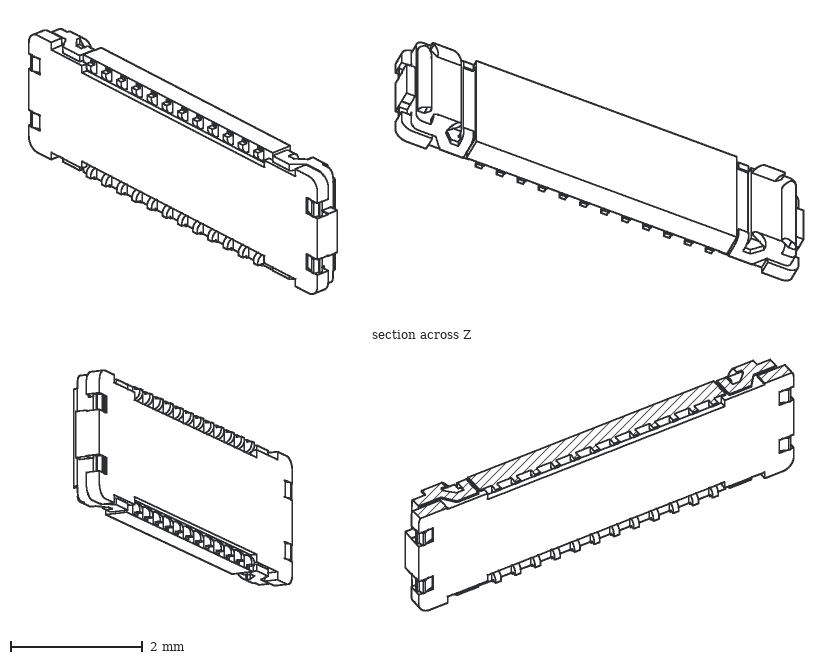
import cadquery as cq

length = 6.65
width = 2.0
half_length = length / 2
half_width = width / 2
base_height = 0.22
base_corner_radius = 0.2
core_half_length = half_length - 0.185
core_half_width = 0.876
core_height = 0.42
end_pad_length = 0.515
end_tongue_half_width = 0.36
end_tongue_height = 0.4

rail_half_length = 2.18
rail_bottom = 0.10
rail_top = 0.458
pocket_half_length = 2.10
pocket_half_width = 0.756

contact_count = 12
contact_pitch = 0.35
contact_width = 0.1
contact_proud = 0.02
tail_end = half_width - 0.005
tail_bottom = 0.064
bump_outer = 0.96
bump_flat_end = 0.919

frame_end = half_length - 0.145
frame_half_width = 0.98
frame_bottom = 0.262
frame_top = 0.442
frame_corner_radius = 0.122
strip_inner_end = 2.22
strip_low_bottom = 0.062
strip_bend_start = 2.77
strip_bend_end = 2.61
notch_bottom = 0.24
notch_slope_top = 0.39
notch_floor_start = 2.51
notch_wall_start = 2.66
tab_outer_end = 2.385
tab_bend_radius = 0.12
land_end = 2.425
gap_floor = 0.33

lip_height = 0.118
lip_width = 0.22
side_lip_start = 2.94
end_lip_outer = frame_end - 0.02
end_lip_half_length = frame_half_width - lip_width

foot_inner_z = 0.35
foot_outer_z = 0.61
foot_clearance = 0.008
foot_notch_length = 0.255
foot_shoulder = 0.11
foot_step = 0.0625
foot_tip = half_length - 0.015
foot_toe = half_length - 0.045
foot_sole_start = half_length - 0.065
foot_sole_end = half_length - 0.105
foot_heel_depth = 0.03


def block(x0, x1, y0, y1, z0, z1):
    """Box between two opposite corners."""
    return cq.Workplane("XY").box(x1 - x0, y1 - y0, z1 - z0, centered=False).translate((x0, y0, z0))


def centered_block(half_x, y0, y1, half_z):
    """Box centred on the Y axis."""
    return block(-half_x, half_x, y0, y1, -half_z, half_z)


def mirrored(shape):
    """Shape together with its copies at the other three corners."""
    pair = shape.union(shape.mirror("YZ"))
    return pair.union(pair.mirror("XY"))


def housing():
    """Base plate, raised core, end tongues and contact rail."""
    base = centered_block(half_length, 0, base_height, half_width)
    base = base.edges("|Y").fillet(base_corner_radius)
    relief_half_length = half_length - end_pad_length
    strip_relief = block(0, relief_half_length, 0, base_height, core_half_width, half_width)
    contact_pocket = block(0, pocket_half_length, 0, rail_bottom, pocket_half_width, half_width)
    base = base.cut(mirrored(strip_relief)).cut(mirrored(contact_pocket))
    heel = half_length - foot_notch_length
    foot_notches = mirrored(block(heel, half_length, 0, base_height, foot_inner_z, foot_outer_z))
    base = base.cut(foot_notches)
    core = centered_block(core_half_length, base_height, core_height, core_half_width)
    tongue = centered_block(half_length, 0, end_tongue_height, end_tongue_half_width)
    tongue = tongue.cut(foot_notches)
    rail = centered_block(rail_half_length, rail_bottom, rail_top, half_width)
    return base.union(core).union(tongue).union(rail)


def contact():
    """Contact of the +Z row, centred on X = 0: flat tail and rounded solder bump."""
    bump_radius = rail_bottom + contact_proud
    return (
        cq.Workplane("YZ", origin=(-contact_width / 2, 0, 0))
        .moveTo(rail_bottom, tail_end)
        .lineTo(tail_bottom, tail_end)
        .lineTo(tail_bottom, bump_outer)
        .lineTo(-contact_proud, bump_outer)
        .lineTo(-contact_proud, bump_flat_end)
        .tangentArcPoint((rail_bottom, bump_flat_end - bump_radius), relative=False)
        .close()
        .extrude(contact_width)
    )


def contacts():
    """Both rows of contacts."""
    single = contact()
    pair = single.union(single.mirror("XY"))
    first_x = -contact_pitch * (contact_count - 1) / 2
    row = cq.Workplane("XY")
    for index in range(contact_count):
        row = row.add(pair.translate((first_x + index * contact_pitch, 0, 0)))
    return row.combine()


def frame_end_plate():
    """Plate around one end of the housing, rounded at both corners."""
    plate = block(-frame_end, -land_end, frame_bottom, frame_top, -frame_half_width, frame_half_width)
    return plate.edges("|Y and <X").fillet(frame_corner_radius)


def side_strip():
    """Cranked strip along the +Z side, with its free end rolled inward."""
    strip = (
        cq.Workplane("XY", origin=(0, 0, pocket_half_width))
        .polyline([
            (-strip_bend_start, frame_bottom),
            (-strip_bend_end, strip_low_bottom),
            (-strip_inner_end, strip_low_bottom),
            (-strip_inner_end, frame_top),
            (-strip_bend_start, frame_top),
        ])
        .close()
        .extrude(frame_half_width - pocket_half_width)
    )
    return strip.edges("|X and >Y and >Z").fillet(tab_bend_radius)


def strip_notch():
    """Space above the crank, between the side lip and the rolled tab."""
    return (
        cq.Workplane("XY", origin=(0, 0, core_half_width))
        .polyline([
            (-notch_wall_start, frame_top),
            (-notch_wall_start, notch_slope_top),
            (-notch_floor_start, notch_bottom),
            (-tab_outer_end, notch_bottom),
            (-tab_outer_end, frame_top),
        ])
        .close()
        .extrude(half_width - core_half_width)
    )


def lip_profile(plane, origin):
    """Half-round lip section standing on the frame top, centred on the origin."""
    return (
        cq.Workplane(plane, origin=origin)
        .moveTo(-lip_width / 2, 0)
        .threePointArc((0, lip_height), (lip_width / 2, 0))
        .close()
    )


def mitre_wedge(x, z, x_side, z_side):
    """Right-angled prism along Y with its square corner at (x, z) and legs toward x_side and z_side."""
    leg = 2 * lip_width
    return (
        cq.Workplane("XZ", origin=(0, frame_top, 0))
        .polyline([(x, z), (x + x_side * leg, z), (x, z + z_side * leg)])
        .close()
        .extrude(lip_height, both=True)
    )


def side_lip():
    """Lip along the +Z strip; both ends are cut at 45 degrees, the outer one only past its crest."""
    crest = frame_half_width - lip_width / 2
    inner_end = lip_width - notch_wall_start
    lip = lip_profile("ZY", (inner_end, frame_top, crest)).extrude(side_lip_start + inner_end)
    inner_cut = mitre_wedge(inner_end, frame_half_width + lip_width, -1, -1)
    outer_cut = mitre_wedge(-side_lip_start - lip_width, crest - lip_width, 1, 1)
    return lip.cut(inner_cut).cut(outer_cut)


def end_lip():
    """Lip across the -X end; the inner half of each end is cut at 45 degrees."""
    crest = lip_width / 2 - end_lip_outer
    lip = lip_profile("XY", (crest, frame_top, -end_lip_half_length)).extrude(2 * end_lip_half_length)
    cut = mitre_wedge(crest + lip_width, end_lip_half_length + lip_width, -1, -1)
    return lip.cut(cut).cut(cut.mirror("XY"))


def solder_foot():
    """Foot at the (-X, +Z) corner: flares outward, then curves up into the housing behind its sole."""
    heel = half_length - foot_notch_length
    heel_run = foot_sole_end - heel
    heel_rise = foot_heel_depth + contact_proud
    heel_radius = (heel_run**2 + heel_rise**2) / (2 * heel_rise)
    return (
        cq.Workplane("XY", origin=(0, 0, foot_inner_z + foot_clearance))
        .moveTo(-frame_end, frame_bottom)
        .lineTo(-frame_end, foot_shoulder)
        .lineTo(-foot_tip, foot_shoulder)
        .lineTo(-foot_tip, foot_step)
        .lineTo(-foot_toe, foot_step)
        .lineTo(-foot_sole_start, -contact_proud)
        .lineTo(-foot_sole_end, -contact_proud)
        .radiusArc((-heel, foot_heel_depth), heel_radius)
        .lineTo(-heel, frame_bottom)
        .close()
        .extrude(foot_outer_z - foot_inner_z - 2 * foot_clearance)
    )


def frames():
    """Both end frames with their strips, lips and feet."""
    strips = mirrored(side_strip())
    plate = frame_end_plate()
    body = plate.union(plate.mirror("YZ")).union(strips).cut(mirrored(strip_notch()))
    lip = end_lip()
    lips = mirrored(side_lip()).union(lip).union(lip.mirror("YZ"))
    return body.union(lips).union(mirrored(solder_foot()))


def frame_gaps():
    """Slots across the full width that separate the frame tops from the middle part."""
    gap = block(-land_end, -tab_outer_end, gap_floor, frame_top, -half_width, half_width)
    return gap.union(gap.mirror("YZ"))


result = housing().union(frames()).cut(frame_gaps()).union(contacts())